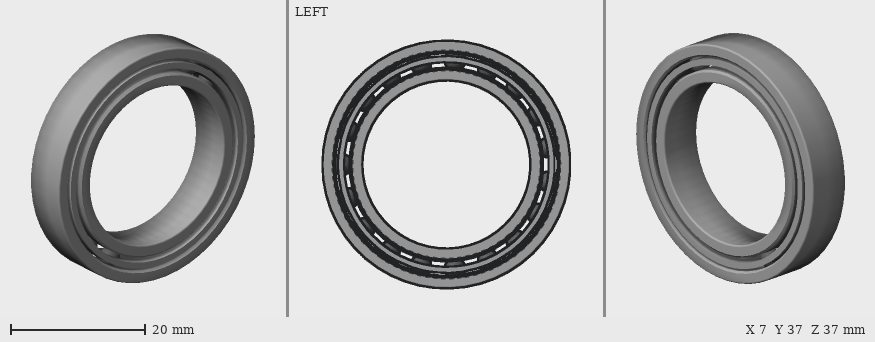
import cadquery as cq

OUTER_RADIUS = 18.5
BORE_RADIUS = 12.5
WIDTH = 7.0

INNER_LAND_RADIUS = 14.45
OUTER_LAND_RADIUS = 16.58

CORNER_RADIUS = 0.3
LAND_CHAMFER = 0.3

BALL_COUNT = 19
BALL_RADIUS = 1.55
PITCH_RADIUS = (INNER_LAND_RADIUS + OUTER_LAND_RADIUS) / 2

CAGE_WIDTH = 6.8
CAGE_INNER_RADIUS = 15.25
CAGE_OUTER_RADIUS = 16.17

SMALLEST_CIRCLES = cq.selectors.RadiusNthSelector(0)
LARGEST_CIRCLES = cq.selectors.RadiusNthSelector(-1)


def sleeve(inner_radius, outer_radius, width):
    """Plain sleeve about X, centred on the plane X = 0."""
    return (
        cq.Workplane("YZ")
        .workplane(offset=-width / 2)
        .circle(outer_radius)
        .circle(inner_radius)
        .extrude(width)
    )


def ball_race():
    """Torus swept by the balls, which shapes the groove in each ring."""
    return (
        cq.Workplane("XY")
        .center(0, PITCH_RADIUS)
        .circle(BALL_RADIUS)
        .revolve(360, (0, -PITCH_RADIUS, 0), (1, -PITCH_RADIUS, 0))
    )


def build_outer_ring():
    """Ring with a rounded rim, and a chamfered bore that carries the ball groove."""
    ring = sleeve(OUTER_LAND_RADIUS, OUTER_RADIUS, WIDTH)
    ring = ring.faces("<X or >X").edges(LARGEST_CIRCLES).fillet(CORNER_RADIUS)
    ring = ring.faces("<X or >X").edges(SMALLEST_CIRCLES).chamfer(LAND_CHAMFER)
    return ring.cut(ball_race())


def build_inner_ring():
    """Ring with a rounded bore, and a chamfered outer wall that carries the ball groove."""
    ring = sleeve(BORE_RADIUS, INNER_LAND_RADIUS, WIDTH)
    ring = ring.faces("<X or >X").edges(SMALLEST_CIRCLES).fillet(CORNER_RADIUS)
    ring = ring.faces("<X or >X").edges(LARGEST_CIRCLES).chamfer(LAND_CHAMFER)
    return ring.cut(ball_race())


def build_cage():
    """Sleeve with the balls set into it, evenly spaced from the +Y direction."""
    cage = sleeve(CAGE_INNER_RADIUS, CAGE_OUTER_RADIUS, CAGE_WIDTH)
    first_ball = cq.Workplane("XZ").sphere(BALL_RADIUS).translate((0, PITCH_RADIUS, 0))
    for index in range(BALL_COUNT):
        angle = 360 * index / BALL_COUNT
        cage = cage.union(first_ball.rotate((0, 0, 0), (1, 0, 0), angle))
    return cage


outer_ring = build_outer_ring()
inner_ring = build_inner_ring()
cage = build_cage()

result = cq.Compound.makeCompound([outer_ring.val(), inner_ring.val(), cage.val()])